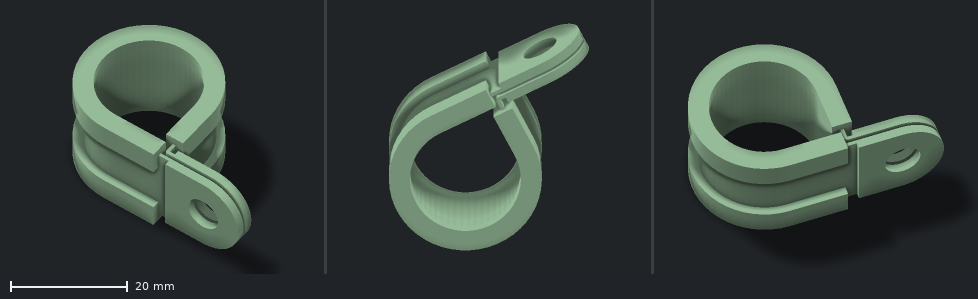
import cadquery as cq
import math

total_length = 41.3
outer_radius = 13.1
inner_radius = 9.5
cushion_width = 18.0
upper_leg_length = 8.0
lower_leg_length = 10.57

groove_width = 9.0
groove_depth = 1.5

strap_width = 15.0
strap_thickness = 0.6
bend_radius = 0.58

lug_thickness = 1.6
lug_gap = 0.6
lug_start_x = 12.7
hole_diameter = 6.4

strap_outer_radius = outer_radius - groove_depth
strap_inner_radius = strap_outer_radius - strap_thickness
lug_radius = strap_width / 2
lug_center_x = total_length - outer_radius - lug_radius
lower_lug_top_y = -strap_inner_radius
upper_lug_bottom_y = lower_lug_top_y + lug_gap


def loop_band(r_in, r_out, width, upper_leg, lower_leg):
    """Three-quarter ring with a straight tangent leg at each end, centred on Z = 0."""
    diagonal = math.sqrt(0.5)
    return (
        cq.Workplane("XY")
        .workplane(offset=-width / 2)
        .moveTo(r_out, -upper_leg)
        .lineTo(r_out, 0)
        .threePointArc((-r_out * diagonal, r_out * diagonal), (0, -r_out))
        .lineTo(lower_leg, -r_out)
        .lineTo(lower_leg, -r_in)
        .lineTo(0, -r_in)
        .threePointArc((-r_in * diagonal, r_in * diagonal), (r_in, 0))
        .lineTo(r_in, -upper_leg)
        .close()
        .extrude(width)
    )


def lug(bottom_y):
    """Flat lug with a round end and a bolt hole through its thickness."""
    straight_length = lug_center_x - lug_start_x
    plate = cq.Workplane("XY").box(
        straight_length, lug_thickness, strap_width, centered=(False, False, True)
    ).translate((lug_start_x, bottom_y, 0))
    end_plane = cq.Plane(origin=(lug_center_x, bottom_y, 0), xDir=(1, 0, 0), normal=(0, 1, 0))
    round_end = cq.Workplane(end_plane).circle(lug_radius).extrude(lug_thickness)
    hole = cq.Workplane(end_plane).circle(hole_diameter / 2).extrude(lug_thickness)
    return plate.union(round_end).cut(hole)


cushion = loop_band(inner_radius, outer_radius, cushion_width, upper_leg_length, lower_leg_length)
groove = loop_band(strap_outer_radius, outer_radius, groove_width, upper_leg_length, lower_leg_length)

strap = loop_band(
    strap_inner_radius, strap_outer_radius, strap_width, -upper_lug_bottom_y, lug_start_x
)

bend_foot = (
    cq.Workplane("XY")
    .box(lug_start_x - strap_inner_radius, strap_thickness, strap_width, centered=(False, False, True))
    .translate((strap_inner_radius, upper_lug_bottom_y, 0))
)
strap = strap.union(bend_foot)
bend_edge = cq.selectors.NearestToPointSelector((strap_inner_radius, upper_lug_bottom_y, 0))
strap = strap.edges("|Z").edges(bend_edge).fillet(bend_radius)

result = (
    cushion.cut(groove)
    .union(strap)
    .union(lug(upper_lug_bottom_y))
    .union(lug(lower_lug_top_y - lug_thickness))
)